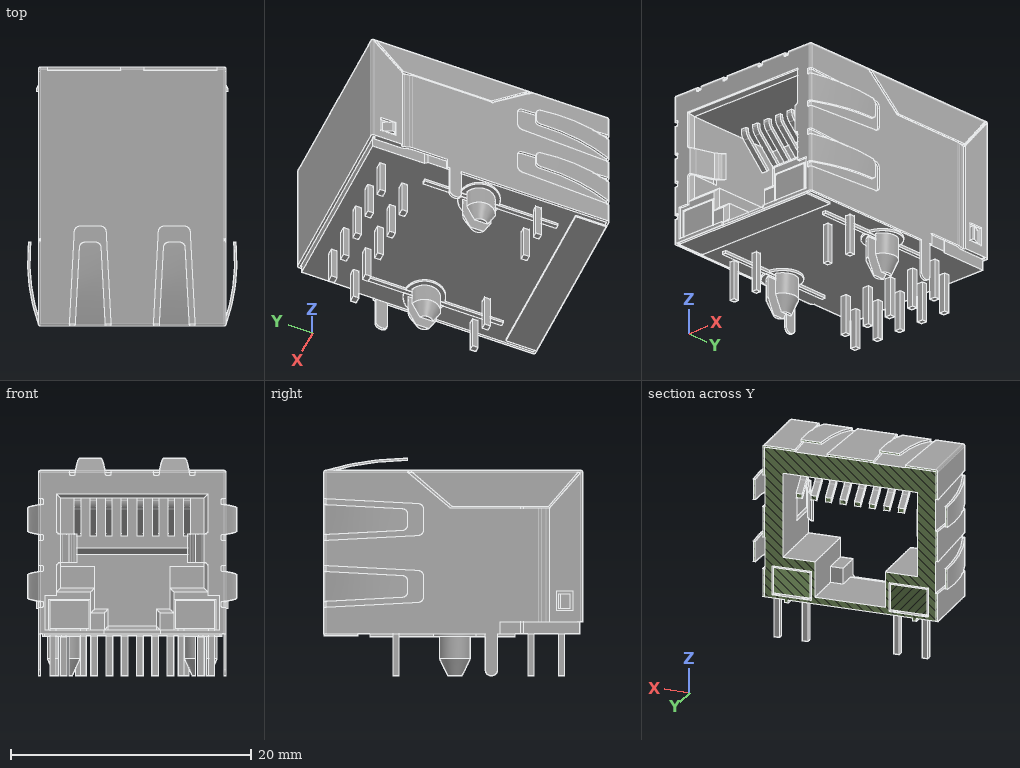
import cadquery as cq
import math


SHEET = 0.2
REAR_SHEET = 0.25
SHIELD_HALF_X = 7.825
SHIELD_Y = 21.6
SHIELD_Z = 13.63
INNER_HALF_X = SHIELD_HALF_X - SHEET
INNER_BACK_Y = SHIELD_Y - REAR_SHEET
INNER_TOP_Z = SHIELD_Z - SHEET
PIN_TIP_Z = -3.5
EDGE_OVERCUT = 0.5

OPENING_HALF_X = 6.31
OPENING_TOP_Z = 11.65
OPENING_BOTTOM_Z = 0.32
LED_OPENING_HALF_X = 7.28
LED_OPENING_TOP_Z = 3.2
LIP_GAP_HALF_X = 2.35
MOUTH_CHAMFER = 0.33

TAB_BOTTOM_Z = 5.93
TAB_TOP_Z = 8.31
TAB_CORNER_R = 0.32
TAB_PATH = [(5.98, 0.0), (5.81, 0.5), (5.26, 2.2), (5.05, 2.45), (4.86, 2.7), (4.62, 2.9)]
TAB_RECESS_BACK_Y = 3.2

FINGER_TIP_Y = 7.0
FINGER_ROOT_HALF = 1.25
FINGER_TIP_HALF = 0.88
FINGER_CORNER_R = 0.45
SLOT_END_Y = 8.34
SLOT_ROOT_HALF = 1.735
SLOT_END_HALF = 1.31
SLOT_CORNER_R = 0.5
NOTCH_DEPTH = 0.42
NOTCH_CORNER_R = 0.1
TOP_FINGER_X = 3.5
SIDE_FINGER_Z = (3.95, 9.52)
TOP_FINGER_RISE = 1.0
SIDE_FINGER_RISE = 0.895
TOP_FINGER_CREST_Y = FINGER_TIP_Y
SIDE_FINGER_CREST_Y = 5.35

FLAP_GAP = [
    (21.37, 13.38), (18.80, 10.47), (10.58, 10.47), (7.00, 13.47),
    (7.20, 13.63), (10.71, 10.60), (18.73, 10.60), (21.20, 13.47),
]
SKIRT_FRONT_Y = 14.7
SKIRT_Z = 1.0
JOG_BEND_STEP = 0.035
JOG_PATH = [
    (SHIELD_HALF_X, 17.90),
    (SHIELD_HALF_X - JOG_BEND_STEP, 18.14),
    (INNER_HALF_X + JOG_BEND_STEP, 18.54),
    (INNER_HALF_X, 18.80),
]
JOG_START_Y = JOG_PATH[0][1]
EAR_FRONT_Y = JOG_PATH[-1][1]
JOG_TOP_Z = FLAP_GAP[1][1]
INNER_PANEL_BACK_Y = 21.2
WINDOW_Y = (19.38, 20.77)
WINDOW_Z = (1.95, 3.57)
LATCH_Y = (19.55, 19.72, 20.54)
LATCH_Z = (2.1, 3.3)
LATCH_HALF_X = 7.99
BEND_SLOT_X = (0.96, 7.05)
BEND_SLOT_Y = 21.28

LEG_Y = 13.98
LEG_WIDTH = 1.04
LEG_TIP_R = 0.51
BOTTOM_FLAP_HALF_X = 7.3
BOTTOM_FLAP_Y = (0.05, 2.85)
BOTTOM_FLAP_SHEET = 0.17

CAVITY_HALF_X = OPENING_HALF_X - MOUTH_CHAMFER
CAVITY_TOP_Z = OPENING_TOP_Z - MOUTH_CHAMFER
FLOOR_Z = OPENING_BOTTOM_Z + MOUTH_CHAMFER
UPPER_WALL_Y = 10.0
LOWER_WALL_Y = 13.0
UPPER_WALL_BOTTOM_Z = 6.62
WALL_CHAMFER = 0.53
LEDGE_HALF_X = 3.13
LEDGE_Z = 3.82
STOP_Z = 5.63
KEY_HALF_X = 2.0
KEY_Z = 2.07
KEY_BACK_Y = 2.86
RAMP_BACK_Y = 1.2
NARROW_HALF_X = INNER_HALF_X - SHEET
NARROWING_Y = (16.39, 16.65)

POST_X = 5.715
POST_Y = 10.94
POST_R = 1.36
POST_TIP_R = 0.73
POST_TAPER_Z = -2.07
POST_SLOT_WIDTH = 0.86
RAIL_Y = (3.85, 15.95)
RAIL_WIDTH = 0.36
RAIL_Z = -0.25
PAD_R = 1.78
PAD_Z = -0.2

CONTACT_COUNT = 8
CONTACT_PITCH = 1.302
CONTACT_WIDTH = 0.55
CONTACT_THICKNESS = 0.3
CONTACT_ROOT_Y = 5.0
CONTACT_BEND_R = 1.0
CONTACT_TIP_Z = 8.15
CONTACT_SLOPE = math.radians(45)
PIN_COUNT = 10
PIN_PITCH = 1.27
PIN_WIDTH = 0.6
PIN_DEPTH = 0.52
PIN_ROWS_Y = (19.81, 17.27)

LED_X = (3.59, 6.87)
LED_Z = (0.45, 2.79)
LED_BACK_Y = 7.0
LED_POCKET_X = (3.48, 6.96)
LED_POCKET_TOP_Z = 2.87
LED_LEAD_X = (4.08, 6.62)
LED_LEAD_Y = 6.03
LED_LEAD_WIDTH = 0.5


def block(x, y, z):
    """Box between the given pairs of X, Y and Z limits."""
    size = (x[1] - x[0], y[1] - y[0], z[1] - z[0])
    return cq.Workplane("XY").box(*size, centered=False).translate((x[0], y[0], z[0]))


def both_sides(shape):
    """The shape and its mirror image across X = 0."""
    return shape.union(shape.mirror("YZ"))


def side_prism(points, x):
    """Extrude a (Y, Z) outline between two X limits."""
    return cq.Workplane("YZ").polyline(points).close().extrude(x[1] - x[0]).translate((x[0], 0, 0))


def plan_prism(points, z):
    """Extrude an (X, Y) outline between two Z limits."""
    return cq.Workplane("XY").polyline(points).close().extrude(z[1] - z[0]).translate((0, 0, z[0]))


def tongue_outline(root_y, end_y, root_half, end_half, corner_r, z):
    """Tapered tongue in plan with its two far corners rounded."""
    points = [(-root_half, root_y), (root_half, root_y), (end_half, end_y), (-end_half, end_y)]
    return plan_prism(points, z).edges("|Z").edges(">Y").fillet(corner_r)


def finger(rise, crest_y):
    """Spring finger on a wall lying in Z = 0, leaving the front bend tangentially.

    Its inner face starts at the center of the bend and is highest at crest_y.
    """
    bend_y, bend_z = SHEET, -SHEET
    run = crest_y - bend_y
    inner_r = (run ** 2 + rise ** 2) / (2 * rise)
    outer_r = inner_r + SHEET
    center_z = bend_z + rise - inner_r

    def arc_point(r, y):
        return (y, center_z + math.sqrt(r ** 2 - (crest_y - y) ** 2))

    outer_root_y = crest_y - run * outer_r / inner_r
    middle_y = FINGER_TIP_Y / 2
    strip = (
        cq.Workplane("YZ")
        .moveTo(*arc_point(outer_r, outer_root_y))
        .threePointArc(arc_point(outer_r, middle_y), arc_point(outer_r, FINGER_TIP_Y))
        .lineTo(*arc_point(inner_r, FINGER_TIP_Y))
        .threePointArc(arc_point(inner_r, middle_y), (bend_y, bend_z))
        .close()
        .extrude(FINGER_ROOT_HALF, both=True)
    )
    z = (-EDGE_OVERCUT, rise + EDGE_OVERCUT)
    outline = tongue_outline(
        0, FINGER_TIP_Y, FINGER_ROOT_HALF, FINGER_TIP_HALF, FINGER_CORNER_R, z
    )
    return strip.intersect(outline)


def finger_slot():
    """Cut around a finger: a slot through the wall and two notches in the front plate."""
    slot = tongue_outline(
        SHEET, SLOT_END_Y, SLOT_ROOT_HALF, SLOT_END_HALF, SLOT_CORNER_R, (-SHEET, EDGE_OVERCUT)
    )
    notch = block(
        (FINGER_ROOT_HALF, SLOT_ROOT_HALF), (-EDGE_OVERCUT, SHEET), (-NOTCH_DEPTH, EDGE_OVERCUT)
    )
    notch = notch.edges("|Y").edges("<Z").fillet(NOTCH_CORNER_R)
    return slot.union(both_sides(notch))


def on_walls(make_top, make_side):
    """Copies of a feature at the two top and four side finger positions."""
    placed = [make_top.translate((x, 0, SHIELD_Z)) for x in (-TOP_FINGER_X, TOP_FINGER_X)]
    for sign in (-1, 1):
        turned = make_side.rotate((0, 0, 0), (0, 1, 0), sign * 90)
        placed += [turned.translate((sign * SHIELD_HALF_X, 0, z)) for z in SIDE_FINGER_Z]
    return placed


def front_opening():
    """Opening in the front plate, wider at the LEDs and narrowed by the grounding tabs."""
    y = (-EDGE_OVERCUT, SHEET)
    wide_x = (-OPENING_HALF_X, OPENING_HALF_X)
    above_tabs = block(wide_x, y, (TAB_TOP_Z, OPENING_TOP_Z))
    above_tabs = above_tabs.edges("|Y").edges("<Z").fillet(TAB_CORNER_R)
    below_tabs = block(wide_x, y, (OPENING_BOTTOM_Z, TAB_BOTTOM_Z))
    below_tabs = below_tabs.edges("|Y").edges(">Z").fillet(TAB_CORNER_R)
    tab_x = TAB_PATH[0][0]
    opening = block((-tab_x, tab_x), y, (OPENING_BOTTOM_Z, OPENING_TOP_Z))
    opening = opening.union(above_tabs).union(below_tabs)
    led_part = block(
        (-LED_OPENING_HALF_X, LED_OPENING_HALF_X), y, (OPENING_BOTTOM_Z, LED_OPENING_TOP_Z)
    )
    lip_gap = block((-LIP_GAP_HALF_X, LIP_GAP_HALF_X), y, (0, OPENING_BOTTOM_Z))
    return opening.union(led_part).union(lip_gap)


def ground_tab():
    outer_path = [(x + SHEET, y) for x, y in reversed(TAB_PATH)]
    return plan_prism(TAB_PATH + outer_path, (TAB_BOTTOM_Z, TAB_TOP_Z))


def inner_panel():
    """Rear end of the side wall, stepped in under the ear, with its latch."""
    outer = JOG_PATH + [(INNER_HALF_X, INNER_PANEL_BACK_Y)]
    inner = [(x - SHEET, y) for x, y in reversed(outer)]
    points = outer + inner + [(INNER_HALF_X, JOG_START_Y - SHEET), (SHIELD_HALF_X, JOG_START_Y - SHEET)]
    latch_root_x = INNER_HALF_X - SHEET / 2
    latch = [
        (latch_root_x, LATCH_Y[0]),
        (LATCH_HALF_X, LATCH_Y[0]),
        (LATCH_HALF_X, LATCH_Y[1]),
        (INNER_HALF_X, LATCH_Y[2]),
        (latch_root_x, LATCH_Y[2]),
    ]
    return plan_prism(points, (SKIRT_Z, JOG_TOP_Z)).union(plan_prism(latch, LATCH_Z))


def leg():
    y = (LEG_Y - LEG_WIDTH / 2, LEG_Y + LEG_WIDTH / 2)
    shank = block((INNER_HALF_X, SHIELD_HALF_X), y, (PIN_TIP_Z, SHEET))
    return shank.edges("|X").edges("<Z").fillet(LEG_TIP_R)


def make_shield():
    half_x = (-SHIELD_HALF_X, SHIELD_HALF_X)
    shell = block(half_x, (0, SHIELD_Y), (0, SHIELD_Z))
    shell = shell.edges("|Z or >Z").fillet(SHEET)
    shell = shell.cut(
        block((-INNER_HALF_X, INNER_HALF_X), (SHEET, INNER_BACK_Y), (-EDGE_OVERCUT, INNER_TOP_Z))
    )
    shell = shell.cut(front_opening())
    wall_x = (INNER_HALF_X, SHIELD_HALF_X + EDGE_OVERCUT)
    back_y = SHIELD_Y + EDGE_OVERCUT
    side_cuts = [
        side_prism(FLAP_GAP, wall_x),
        block(wall_x, (JOG_START_Y, EAR_FRONT_Y), (0, JOG_TOP_Z)),
        block(wall_x, WINDOW_Y, WINDOW_Z),
        block(BEND_SLOT_X, (BEND_SLOT_Y, back_y), (INNER_TOP_Z, SHIELD_Z + EDGE_OVERCUT)),
    ]
    for cut in side_cuts:
        shell = shell.cut(both_sides(cut))
    shell = shell.cut(
        block((-wall_x[1], wall_x[1]), (SKIRT_FRONT_Y, back_y), (-EDGE_OVERCUT, SKIRT_Z))
    )
    for slot in on_walls(finger_slot(), finger_slot()):
        shell = shell.cut(slot)
    top_finger = finger(TOP_FINGER_RISE, TOP_FINGER_CREST_Y)
    side_finger = finger(SIDE_FINGER_RISE, SIDE_FINGER_CREST_Y)
    for spring in on_walls(top_finger, side_finger):
        shell = shell.union(spring)
    for part in (inner_panel(), ground_tab(), leg()):
        shell = shell.union(both_sides(part))
    bottom_flap = block(
        (-BOTTOM_FLAP_HALF_X, BOTTOM_FLAP_HALF_X), BOTTOM_FLAP_Y, (-BOTTOM_FLAP_SHEET, 0)
    )
    return shell.union(bottom_flap)


def make_led(sign):
    x = sorted((sign * LED_X[0], sign * LED_X[1]))
    led = block(x, (SHEET, LED_BACK_Y), LED_Z)
    for lead_x in LED_LEAD_X:
        led = led.union(pin(sign * lead_x, LED_LEAD_Y, LED_LEAD_WIDTH, LED_Z[0]))
    return led


def pin(x, y, width, top_z):
    """Straight pin reaching from top_z down through the board."""
    half_width = width / 2
    half_depth = PIN_DEPTH / 2
    return block(
        (x - half_width, x + half_width), (y - half_depth, y + half_depth), (PIN_TIP_Z, top_z)
    )


def plug_cavity():
    """Plug space with a chamfered mouth, side ledges, keys and a stepped back wall."""
    profile = [
        (0, FLOOR_Z), (KEY_HALF_X, FLOOR_Z), (KEY_HALF_X, KEY_Z), (LEDGE_HALF_X, KEY_Z),
        (LEDGE_HALF_X, LEDGE_Z), (CAVITY_HALF_X, LEDGE_Z), (CAVITY_HALF_X, CAVITY_TOP_Z),
        (0, CAVITY_TOP_Z),
    ]
    c = MOUTH_CHAMFER
    mouth_profile = [
        (0, FLOOR_Z - c), (KEY_HALF_X + c, FLOOR_Z - c), (KEY_HALF_X + c, KEY_Z - c),
        (LEDGE_HALF_X + c, KEY_Z - c), (LEDGE_HALF_X + c, LEDGE_Z - c),
        (CAVITY_HALF_X + c, LEDGE_Z - c), (CAVITY_HALF_X + c, CAVITY_TOP_Z + c),
        (0, CAVITY_TOP_Z + c),
    ]

    def mirrored(points):
        left = [(-x, z) for x, z in reversed(points) if x > 0]
        return points + left

    plane = cq.Workplane("XZ", origin=(0, SHEET, 0))
    mouth = (
        plane.polyline(mirrored(mouth_profile)).close()
        .workplane(offset=-c)
        .polyline(mirrored(profile)).close()
        .loft(ruled=True)
    )
    bore = plane.polyline(mirrored(profile)).close().extrude(-(UPPER_WALL_Y - SHEET))
    lower = block(
        (-LEDGE_HALF_X, LEDGE_HALF_X), (KEY_BACK_Y, LOWER_WALL_Y), (FLOOR_Z, STOP_Z)
    )
    under_wall = side_prism(
        [
            (UPPER_WALL_Y, STOP_Z),
            (LOWER_WALL_Y, STOP_Z),
            (LOWER_WALL_Y, UPPER_WALL_BOTTOM_Z),
            (UPPER_WALL_Y + WALL_CHAMFER, UPPER_WALL_BOTTOM_Z),
            (UPPER_WALL_Y, UPPER_WALL_BOTTOM_Z + WALL_CHAMFER),
        ],
        (-CAVITY_HALF_X, CAVITY_HALF_X),
    )
    ramp = side_prism(
        [(SHEET, OPENING_BOTTOM_Z), (RAMP_BACK_Y, FLOOR_Z), (SHEET, FLOOR_Z)],
        (-KEY_HALF_X, KEY_HALF_X),
    )
    tab_recess = block(
        (CAVITY_HALF_X, OPENING_HALF_X), (SHEET, TAB_RECESS_BACK_Y), (TAB_BOTTOM_Z, TAB_TOP_Z)
    )
    return mouth.union(bore).union(ramp).union(lower).union(under_wall).union(both_sides(tab_recess))


def contact(x):
    """Contact strip bending down from the cavity ceiling and sloping back to its tip."""
    outer_r = CONTACT_BEND_R
    inner_r = outer_r - CONTACT_THICKNESS
    center_y = CONTACT_ROOT_Y + outer_r
    center_z = CAVITY_TOP_Z - SHEET
    end_angle = math.pi + CONTACT_SLOPE

    def bend_point(r, angle):
        return (center_y + r * math.cos(angle), center_z + r * math.sin(angle))

    middle_angle = math.pi + CONTACT_SLOPE / 2
    outer_end = bend_point(outer_r, end_angle)
    inner_end = bend_point(inner_r, end_angle)
    run = (outer_end[1] - CONTACT_TIP_Z) / math.sin(CONTACT_SLOPE)
    step_y = run * math.cos(CONTACT_SLOPE)
    step_z = run * math.sin(CONTACT_SLOPE)
    return (
        cq.Workplane("YZ")
        .moveTo(CONTACT_ROOT_Y, CAVITY_TOP_Z + SHEET)
        .lineTo(CONTACT_ROOT_Y, center_z)
        .threePointArc(bend_point(outer_r, middle_angle), outer_end)
        .lineTo(outer_end[0] + step_y, outer_end[1] - step_z)
        .lineTo(inner_end[0] + step_y, inner_end[1] - step_z)
        .lineTo(*inner_end)
        .threePointArc(bend_point(inner_r, middle_angle), (CONTACT_ROOT_Y + CONTACT_THICKNESS, center_z))
        .lineTo(CONTACT_ROOT_Y + CONTACT_THICKNESS, CAVITY_TOP_Z + SHEET)
        .close()
        .extrude(CONTACT_WIDTH / 2, both=True)
        .translate((x, 0, 0))
    )


def post():
    """Tapered board post split by a slot, on its standoff rail."""
    peg = (
        cq.Workplane("XZ")
        .polyline([(0, SHEET), (POST_R, SHEET), (POST_R, POST_TAPER_Z), (POST_TIP_R, PIN_TIP_Z),
                   (0, PIN_TIP_Z)])
        .close()
        .revolve(360, (0, 0, 0), (0, 1, 0))
        .translate((POST_X, POST_Y, 0))
    )
    half_slot = POST_SLOT_WIDTH / 2
    peg = peg.cut(
        block(
            (POST_X - half_slot, POST_X + half_slot),
            (POST_Y - 2 * POST_R, POST_Y + 2 * POST_R),
            (PIN_TIP_Z - EDGE_OVERCUT, 0),
        )
    )
    pad = cq.Workplane("XY").center(POST_X, POST_Y).circle(PAD_R).extrude(PAD_Z)
    half_rail = RAIL_WIDTH / 2
    rail = block((POST_X - half_rail, POST_X + half_rail), RAIL_Y, (RAIL_Z, SHEET))
    return peg.union(pad).union(rail)


def make_housing():
    right_half = [
        (0, SHEET), (INNER_HALF_X, SHEET), (INNER_HALF_X, NARROWING_Y[0]),
        (NARROW_HALF_X, NARROWING_Y[1]), (NARROW_HALF_X, INNER_BACK_Y), (0, INNER_BACK_Y),
    ]
    body = both_sides(plan_prism(right_half, (0, INNER_TOP_Z)))
    body = body.cut(plug_cavity())
    led_pocket = block(
        LED_POCKET_X, (SHEET, LED_BACK_Y), (OPENING_BOTTOM_Z, LED_POCKET_TOP_Z)
    )
    body = body.cut(both_sides(led_pocket))
    body = body.union(both_sides(post()))
    for i in range(CONTACT_COUNT):
        body = body.union(contact((i - (CONTACT_COUNT - 1) / 2) * CONTACT_PITCH))
    for i in range(PIN_COUNT):
        x = (i - (PIN_COUNT - 1) / 2) * PIN_PITCH
        body = body.union(pin(x, PIN_ROWS_Y[i % 2], PIN_WIDTH, SHEET))
    return body


shield = make_shield()
leds = [make_led(sign) for sign in (-1, 1)]
housing = make_housing()
for led in leds:
    housing = housing.cut(led)

result = cq.Compound.makeCompound([*shield.vals(), *housing.vals(), *[led.val() for led in leds]])